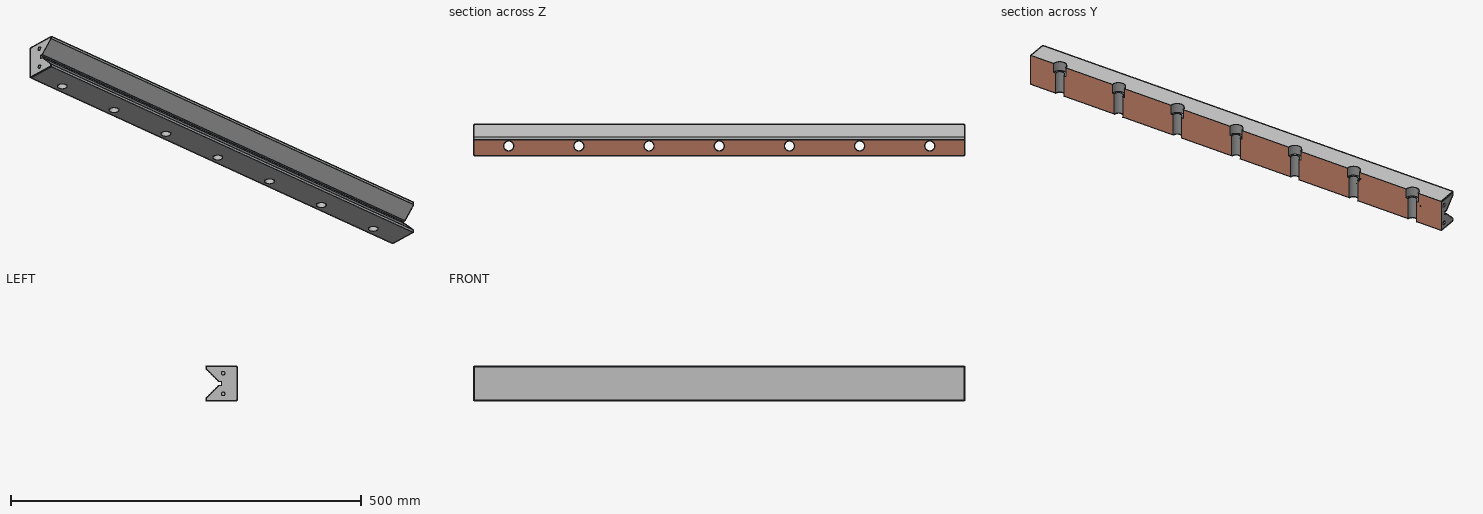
import cadquery as cq

length = 700.0
width = 45.0
height = 50.0
back_chamfer = 1.5
end_chamfer = 1.0

lip_height = 4.0
relief_width = 5.0
groove_depth = 22.0
vee_depth = height / 2 - lip_height - relief_width / 2

mount_count = 7
mount_pitch = 100.0
mount_from_back = 14.0
mount_diameter = 14.0
counterbore_diameter = 20.0
counterbore_depth = 15.0

end_hole_diameter = 5.19
end_hole_depth = 15.0
end_hole_spacing = 29.5
end_hole_from_back = 20.5

front_y = width / 2
back_y = -width / 2
top_z = height / 2
end_x = length / 2


def make_blank():
    """Make the solid bar with its two back edges and both end outlines chamfered."""
    bar = cq.Workplane("XY").box(length, width, height)
    bar = bar.faces("<Y").edges("|X").chamfer(back_chamfer)
    return bar.faces("<X or >X").edges().chamfer(end_chamfer)


def cut_groove(body):
    """Cut the V-groove and its relief slot along X; the sketch axes are Y and Z."""
    lip_z = top_z - lip_height
    relief_z = relief_width / 2
    vee_y = front_y - vee_depth
    relief_y = front_y - groove_depth
    profile = [
        (front_y, -lip_z),
        (vee_y, -relief_z),
        (relief_y, -relief_z),
        (relief_y, relief_z),
        (vee_y, relief_z),
        (front_y, lip_z),
    ]
    groove = cq.Workplane("YZ").polyline(profile).close().extrude(end_x, both=True)
    return body.cut(groove)


def cut_mount_holes(body):
    """Cut the evenly spaced counterbored through holes from the top face."""
    return (
        body.copyWorkplane(cq.Workplane("XY", origin=(0, back_y + mount_from_back, top_z)))
        .rarray(mount_pitch, 1, mount_count, 1)
        .cboreHole(mount_diameter, counterbore_diameter, counterbore_depth)
    )


def cut_end_holes(body):
    """Cut a pair of blind holes into each end face."""
    hole_y = back_y + end_hole_from_back
    for side in (-1, 1):
        for level in (-1, 1):
            start = cq.Vector(side * end_x, hole_y, level * end_hole_spacing / 2)
            inward = cq.Vector(-side, 0, 0)
            hole = cq.Solid.makeCylinder(end_hole_diameter / 2, end_hole_depth, start, inward)
            body = body.cut(cq.Workplane(hole))
    return body


result = cut_end_holes(cut_mount_holes(cut_groove(make_blank())))